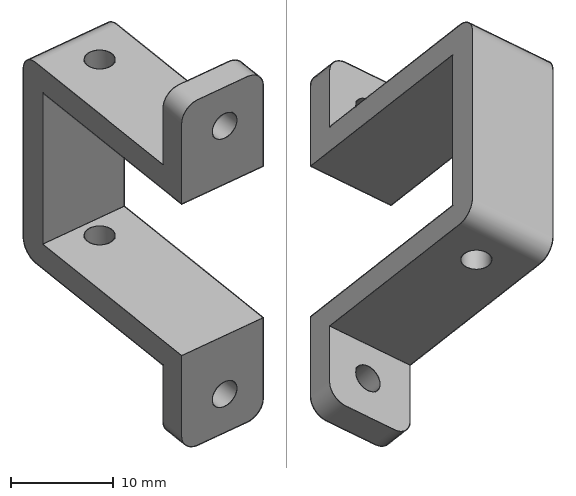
import cadquery as cq

depth = 25.45
width = 10.0
height = 42.5

wall = 3.0
web_thickness = 3.15
body_height = 24.65
corner_radius = 2.0

hole_diameter = 3.0
hole_offset_y = 0.25
flange_hole_inset = 4.75
arm_hole_x = 5.4

flange_front_x = depth - wall
opening_height = body_height - 2 * wall


def centred_block(x_start, x_end, z_size):
    """Block of full strip width, centred on Y and Z."""
    length = x_end - x_start
    return cq.Workplane("XY").box(length, width, z_size).translate((x_start + length / 2, 0, 0))


body = centred_block(0, depth, body_height).edges("|Y and <X").fillet(corner_radius)

flanges = centred_block(flange_front_x, depth, height).edges("|X").fillet(corner_radius)

opening = centred_block(web_thickness, depth, opening_height)

flange_hole_z = height / 2 - flange_hole_inset
flange_holes = (
    cq.Workplane("YZ", origin=(flange_front_x, 0, 0))
    .pushPoints([(hole_offset_y, flange_hole_z), (hole_offset_y, -flange_hole_z)])
    .circle(hole_diameter / 2)
    .extrude(wall)
)

arm_holes = (
    cq.Workplane("XY")
    .center(arm_hole_x, hole_offset_y)
    .circle(hole_diameter / 2)
    .extrude(body_height / 2, both=True)
)

result = body.union(flanges).cut(opening).cut(flange_holes).cut(arm_holes)